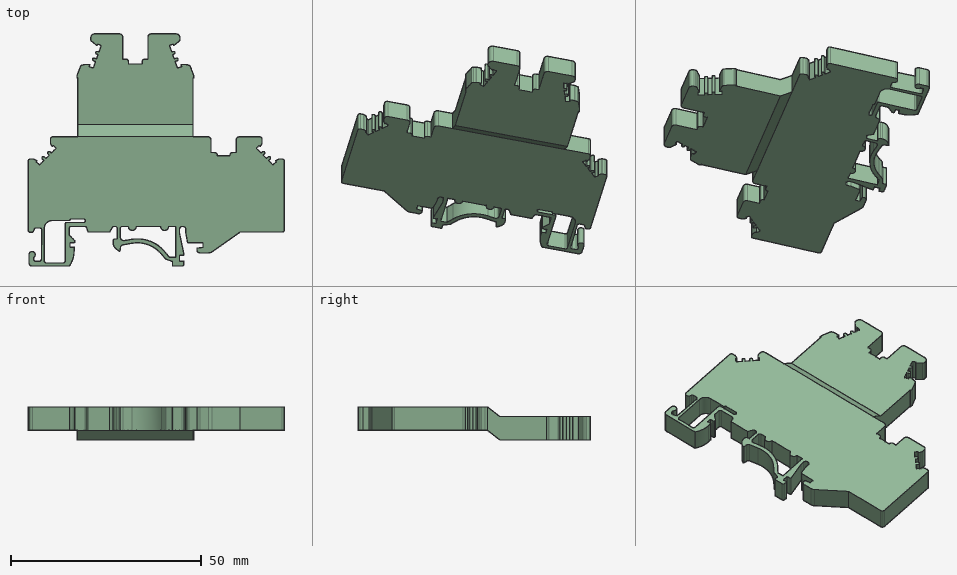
import cadquery as cq
import math


BODY_LENGTH = 67.3
PLATE_THICKNESS = 6.2
DECK_DROP = 2.5
NECK_LENGTH = 3.2
BODY_BACK = 34.0
DECK_BACK = 61.0
KEEL_FRONT = 8.9
RAIL_SEAT = 10.4
DECK_CENTER_X = 28.17
DECK_HALF_WIDTH = 15.15
CORNER_ROUND = 0.7
SMALL_ROUND = 0.5
TIP_ROUND = 0.2

SLOT_HALF_WIDTH = 3.26
BODY_SLOT_X = 51.33
SLOT_ROUND = 0.95
STEP_ROUND = 0.65

RIB_RADIUS = 0.4
RIB_STEM = 0.4
BODY_RIBS = [(4.03, 28.38), (5.52, 29.72)]
BODY_RIB_ANGLE = -45.0
DECK_RIBS = [(17.32, 54.25), (18.15, 56.0)]
DECK_RIB_ANGLE = -19.0

FOOT_LEFT = 0.22
FOOT_RIGHT = 12.13
FOOT_FLANK_RADIUS = 6.9
FOOT_POCKET_LEFT = 4.29
FOOT_POCKET_RIGHT = 9.75
FOOT_POCKET_FRONT = 0.86
FOOT_POCKET_BACK = 11.94
RELIEF_LEFT = 11.1
RELIEF_RIGHT = 15.0
RELIEF_FRONT = 11.46
RELIEF_BACK = 12.35
KNOB_RADIUS = 0.85
KNOB_Y = 3.02

CLIP_LEFT = 23.38
CLIP_WINDOW_LEFT = 24.24
CLIP_WINDOW_RIGHT = 38.76
CLIP_WINDOW_FRONT = 2.38
CLIP_RIGHT = 40.9
CLIP_NECK_X = 39.8
ARCH_X = 28.7
ARCH_Y = -2.1
ARCH_OUTER_RADIUS = 9.3
ARCH_THICKNESS = 1.1
ARCH_START = math.radians(-10)
ARCH_END = math.radians(50)
STOP_RADIUS = 1.06
STOP_CENTERS_X = [27.36, 35.85]


def rounded_outline(points):
    """Closed sketch through (x, y) or (x, y, radius) corners, filleted where a radius is given."""
    stretches = []
    for index, corner in enumerate(points):
        here = cq.Vector(corner[0], corner[1])
        if len(corner) == 2:
            stretches.append([here])
            continue
        radius = corner[2]
        before = points[index - 1]
        after = points[(index + 1) % len(points)]
        to_before = (cq.Vector(before[0], before[1]) - here).normalized()
        to_after = (cq.Vector(after[0], after[1]) - here).normalized()
        half_angle = to_before.getAngle(to_after) / 2
        reach = radius / math.tan(half_angle)
        bisector = (to_before + to_after).normalized()
        middle = here + bisector * (radius / math.sin(half_angle) - radius)
        stretches.append([here + to_before * reach, middle, here + to_after * reach])

    sketch = cq.Workplane("XY").moveTo(stretches[0][-1].x, stretches[0][-1].y)
    for stretch in stretches[1:] + stretches[:1]:
        sketch = sketch.lineTo(stretch[0].x, stretch[0].y)
        if len(stretch) > 1:
            sketch = sketch.threePointArc(stretch[1].toTuple()[:2], stretch[2].toTuple()[:2])
    return sketch.close()


def mirrored(points, center_x):
    """The same run of corners reflected about x = center_x, in reverse order."""
    return [(2 * center_x - p[0], *p[1:]) for p in reversed(points)]


def back_slot(center_x, back, shelf_depth, step_depth, floor_half_width):
    """Stepped slot in a back edge, from its right lip to its left lip."""
    shelf = back - shelf_depth
    right_half = [
        (center_x + SLOT_HALF_WIDTH, back, SLOT_ROUND),
        (center_x + SLOT_HALF_WIDTH, shelf),
        (center_x + floor_half_width, shelf, STEP_ROUND),
        (center_x + floor_half_width, shelf - step_depth),
    ]
    return right_half + mirrored(right_half, center_x)


def body_shoulder():
    """Left back corner of the body with its marker notch, from back to front."""
    lip_x = 5.84
    lobe_back = 28.15
    return [
        (lip_x, BODY_BACK, CORNER_ROUND),
        (lip_x, 32.2, CORNER_ROUND),
        (6.4, 31.35, 0.1),
        (6.7, 31.6),
        (7.38, 30.95),
        (3.03, 26.6),
        (2.2, 27.35),
        (2.42, 27.65, 0.1),
        (1.5, lobe_back, SMALL_ROUND),
        (0, lobe_back, 0.6),
    ]


def left_foot():
    """Hooked latch foot, from the left wall to the rail seat."""
    ledge = 10.0
    lobe_front = 8.85
    slot_left = 1.51
    slot_front = 1.3
    notch_x = 11.03
    notch_front = 4.99
    notch_back = 6.1
    barb_x = 12.3
    seat_x = 10.82
    return [
        (0, lobe_front, 0.65),
        (1.3, lobe_front, 0.6),
        (1.8, ledge, 0.45),
        (3.61, ledge, SMALL_ROUND),
        (3.46, slot_front, SMALL_ROUND),
        (slot_left, slot_front, SMALL_ROUND),
        (slot_left, KNOB_Y),
        (FOOT_LEFT, KNOB_Y),
        (FOOT_LEFT, 0, 0.9),
        (10.86, 0),
        (FOOT_RIGHT, 1.9, FOOT_FLANK_RADIUS),
        (FOOT_RIGHT, notch_front),
        (notch_x, notch_front),
        (notch_x, notch_back),
        (11.94, notch_back),
        (barb_x, 6.24),
        (barb_x, 6.67),
        (seat_x, 8.19),
        (seat_x, RAIL_SEAT, SMALL_ROUND),
    ]


def keel():
    """Raised pad between the left foot and the spring clip."""
    return [
        (15.25, RAIL_SEAT, SMALL_ROUND),
        (15.75, KEEL_FRONT, 0.15),
        (21.4, KEEL_FRONT),
        (22.3, RAIL_SEAT, SMALL_ROUND),
    ]


def arch_corner(radius):
    """Corner where the end tangents of an arch of this radius meet."""
    middle = (ARCH_START + ARCH_END) / 2
    distance = radius / math.cos((ARCH_END - ARCH_START) / 2)
    return (ARCH_X + distance * math.sin(middle), ARCH_Y + distance * math.cos(middle), radius)


def arch_tangent_y(radius, end_angle, x):
    """Height at x of the line touching the arch at end_angle."""
    touch_x = ARCH_X + radius * math.sin(end_angle)
    touch_y = ARCH_Y + radius * math.cos(end_angle)
    return touch_y - (x - touch_x) * math.tan(end_angle)


def spring_clip():
    """Outside of the arched clip, from its left wall to its right wall."""
    inner_radius = ARCH_OUTER_RADIUS - ARCH_THICKNESS
    claw_left = 22.3
    claw_back = 7.18
    claw_root_x = 24.35
    arch_foot_x = 36.1
    pad_left = 37.9
    notch_front = 1.3
    notch_back = 2.85
    return [
        (CLIP_LEFT, RAIL_SEAT, SMALL_ROUND),
        (CLIP_LEFT, claw_back),
        (claw_left, claw_back, SMALL_ROUND),
        (claw_left, 5.05, 2.2),
        (24.0, 3.85, 0.1),
        (24.2, 4.1),
        (claw_root_x, arch_tangent_y(inner_radius, ARCH_START, claw_root_x), CORNER_ROUND),
        arch_corner(inner_radius),
        (arch_foot_x, arch_tangent_y(inner_radius, ARCH_END, arch_foot_x), SMALL_ROUND),
        (pad_left, 1.2, 0.3),
        (pad_left, 0, TIP_ROUND),
        (CLIP_RIGHT, 0, SMALL_ROUND),
        (CLIP_RIGHT, notch_front),
        (CLIP_NECK_X, notch_front),
        (CLIP_NECK_X, notch_back),
        (CLIP_RIGHT, notch_back, TIP_ROUND),
        (CLIP_RIGHT, 3.3),
        (CLIP_NECK_X, 8.6),
        (CLIP_NECK_X, RAIL_SEAT, CORNER_ROUND),
    ]


def right_foot():
    """Fixed rail hook and ramp, from the clip gap to the right wall."""
    gap_right = 41.36
    hook_ceiling = 6.08
    hook_tip_x = 44.3
    hook_back_x = 45.89
    hook_front = 3.45
    return [
        (gap_right, RAIL_SEAT, CORNER_ROUND),
        (gap_right, 8.8),
        (41.85, hook_ceiling, SMALL_ROUND),
        (hook_back_x, hook_ceiling),
        (hook_back_x, 4.95),
        (hook_tip_x, 4.75),
        (hook_tip_x, hook_front, 0.8),
        (47.9, hook_front, 1.6),
        (55.65, KEEL_FRONT),
        (BODY_LENGTH, KEEL_FRONT, CORNER_ROUND),
    ]


def extrude_plate(sketch):
    return sketch.extrude(PLATE_THICKNESS)


def disc(x, y, radius):
    return extrude_plate(cq.Workplane("XY").center(x, y).circle(radius))


def grip_ribs(tips, angle, center_x, thickness):
    """Round-tipped ribs standing on the left marker notch, and their mirror images."""
    ribs = []
    for tip_x, tip_y in tips:
        middle_x = tip_x + RIB_STEM / 2 * math.cos(math.radians(angle))
        middle_y = tip_y + RIB_STEM / 2 * math.sin(math.radians(angle))
        length = RIB_STEM + 2 * RIB_RADIUS
        for x, turn in ((middle_x, angle), (2 * center_x - middle_x, -angle)):
            sketch = cq.Workplane("XY").center(x, middle_y).slot2D(length, 2 * RIB_RADIUS, turn)
            ribs.append(sketch.extrude(thickness))
    return ribs


def foot_pocket():
    """Open pocket in the left foot with the spring slit leading out of it."""
    slit_round = 0.44
    pocket_round = 2.0
    step_run = 0.2
    return extrude_plate(rounded_outline([
        (FOOT_POCKET_LEFT, FOOT_POCKET_FRONT, SMALL_ROUND),
        (FOOT_POCKET_RIGHT, FOOT_POCKET_FRONT, SMALL_ROUND),
        (FOOT_POCKET_RIGHT, RELIEF_FRONT, 0.3),
        (RELIEF_RIGHT, RELIEF_FRONT, slit_round),
        (RELIEF_RIGHT, RELIEF_BACK, slit_round),
        (RELIEF_LEFT, RELIEF_BACK, TIP_ROUND),
        (RELIEF_LEFT - step_run, FOOT_POCKET_BACK),
        (FOOT_POCKET_LEFT, FOOT_POCKET_BACK, pocket_round),
    ]))


def clip_window():
    """Opening enclosed by the spring clip, with two rail stops on its back edge."""
    left_y = arch_tangent_y(ARCH_OUTER_RADIUS, ARCH_START, CLIP_WINDOW_LEFT)
    right_y = arch_tangent_y(ARCH_OUTER_RADIUS, ARCH_END, CLIP_WINDOW_RIGHT)
    arch_foot_x = CLIP_WINDOW_RIGHT + (right_y - CLIP_WINDOW_FRONT) / math.tan(ARCH_END)
    window = extrude_plate(rounded_outline([
        (CLIP_WINDOW_LEFT, RAIL_SEAT, SMALL_ROUND),
        (CLIP_WINDOW_LEFT, left_y, 0.9),
        arch_corner(ARCH_OUTER_RADIUS),
        (arch_foot_x, CLIP_WINDOW_FRONT),
        (CLIP_WINDOW_RIGHT, CLIP_WINDOW_FRONT),
        (CLIP_WINDOW_RIGHT, RAIL_SEAT),
    ]))
    for stop_x in STOP_CENTERS_X:
        window = window.cut(disc(stop_x, RAIL_SEAT, STOP_RADIUS))
    return window


def main_body():
    center_x = BODY_LENGTH / 2
    shoulder = body_shoulder()
    slot = back_slot(BODY_SLOT_X, BODY_BACK, shelf_depth=4.17, step_depth=0.8, floor_half_width=1.65)
    front = left_foot() + keel() + spring_clip() + right_foot()
    body = extrude_plate(rounded_outline(shoulder + front + mirrored(shoulder, center_x) + slot))
    body = body.union(disc(FOOT_LEFT + KNOB_RADIUS, KNOB_Y, KNOB_RADIUS))
    for rib in grip_ribs(BODY_RIBS, BODY_RIB_ANGLE, center_x, PLATE_THICKNESS):
        body = body.union(rib)
    return body.cut(foot_pocket()).cut(clip_window())


def deck_side():
    """Left edge of the deck with its marker notch, from back to front."""
    wall_x = DECK_CENTER_X - DECK_HALF_WIDTH
    bulge_x = wall_x - 0.22
    bulge_front = 49.4
    lip_x = 16.44
    ledge_back = 52.95
    return [
        (lip_x, DECK_BACK, 1.1),
        (lip_x, 59.2, CORNER_ROUND),
        (18.1, 57.85),
        (18.3, 58.2),
        (19.2, 57.95, TIP_ROUND),
        (17.1, 52.0),
        (16.05, 52.4),
        (16.25, ledge_back),
        (14.9, ledge_back, SMALL_ROUND),
        (13.85, 52.7, SMALL_ROUND),
        (bulge_x, 50.0, SMALL_ROUND),
        (bulge_x, bulge_front),
        (wall_x, bulge_front),
        (wall_x, BODY_BACK),
    ]


def upper_deck():
    """Deck and neck: the deck outline limited to a plate that steps down through the neck."""
    side = deck_side()
    slot = back_slot(DECK_CENTER_X, DECK_BACK, shelf_depth=6.65, step_depth=1.25, floor_half_width=1.8)
    full_height = PLATE_THICKNESS + DECK_DROP
    deck = rounded_outline(side + mirrored(side, DECK_CENTER_X) + slot).extrude(full_height)
    for rib in grip_ribs(DECK_RIBS, DECK_RIB_ANGLE, DECK_CENTER_X, full_height):
        deck = deck.union(rib)
    neck_back = BODY_BACK + NECK_LENGTH
    deck_top = PLATE_THICKNESS - DECK_DROP
    stepped_plate = (
        cq.Workplane("YZ")
        .polyline([
            (BODY_BACK, 0),
            (neck_back, -DECK_DROP),
            (DECK_BACK, -DECK_DROP),
            (DECK_BACK, deck_top),
            (neck_back, deck_top),
            (BODY_BACK, PLATE_THICKNESS),
        ])
        .close()
        .extrude(BODY_LENGTH)
    )
    return deck.translate((0, 0, -DECK_DROP)).intersect(stepped_plate)


result = main_body().union(upper_deck())